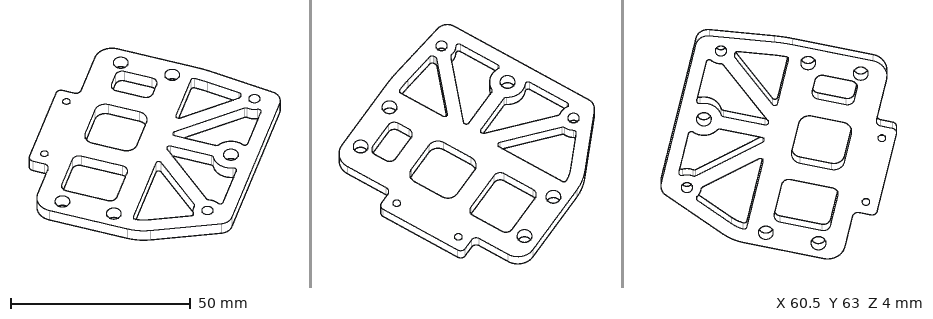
import cadquery as cq
import math

thickness = 4.0
overall_width = 60.55
body_left = -13.4
right_edge = 40.8
tab_left = right_edge - overall_width
top_edge = 28.0
bottom_edge = -35.0
body_corner_radius = 5.0

top_bend_x = 17.1
top_slope_angle = math.radians(6.5)
top_bend_radius = 45.0
bottom_bend_x = 17.7
bottom_slope_angle = math.radians(24.7)
bottom_bend_radius = 15.0
right_corner_radius = 3.5

tab_center_y = -5.1
tab_height = 27.6
tab_corner_radius = 1.5
tab_hole_diameter = 2.1
tab_hole_x = -16.05
tab_hole_spacing = 20.3

body_hole_diameter = 4.1
body_hole_xs = (-5.95, 9.05)
body_hole_ys = (23.35, -30.65)

boss_hole_x = 33.55
center_hole_diameter = 4.1
center_boss_radius = 5.0
side_hole_diameter = 3.1
side_hole_y = 21.75
side_boss_radius = 4.0
bosses = (
    (0.0, center_boss_radius),
    (side_hole_y, side_boss_radius),
    (-side_hole_y, side_boss_radius),
)

windows = (
    (16.8, 12.0, 7.5, 2.0),
    (0.0, 15.0, 15.0, 3.0),
    (-19.8, 16.0, 13.5, 2.0),
)

rim_width = 4.05
rib_width = 4.0
rib_half_width = rib_width / 2
rib_origin_x = 9.25
rib_angle = math.atan2(side_hole_y, boss_hole_x - rib_origin_x)
outer_bay_left = 14.6
bay_corner_radius = 0.8
tolerance = 1e-3


def make_outline():
    """Plate profile with the tab, extruded to full thickness."""
    top_right_y = top_edge - (right_edge - top_bend_x) * math.tan(top_slope_angle)
    bottom_right_y = bottom_edge + (right_edge - bottom_bend_x) * math.tan(bottom_slope_angle)
    tab_top = tab_center_y + tab_height / 2
    tab_bottom = tab_center_y - tab_height / 2

    top_left = (body_left, top_edge)
    bottom_left = (body_left, bottom_edge)
    top_bend = (top_bend_x, top_edge)
    bottom_bend = (bottom_bend_x, bottom_edge)
    right_corners = ((right_edge, top_right_y), (right_edge, bottom_right_y))
    tab_corners = (
        (body_left, tab_top),
        (tab_left, tab_top),
        (tab_left, tab_bottom),
        (body_left, tab_bottom),
    )
    points = [top_left, top_bend, *right_corners, bottom_bend, bottom_left]
    points += reversed(tab_corners)
    plate = cq.Workplane("XY").polyline(points).close().extrude(thickness)

    roundings = (
        ((top_left, bottom_left), body_corner_radius),
        ((top_bend,), top_bend_radius),
        ((bottom_bend,), bottom_bend_radius),
        (right_corners, right_corner_radius),
        (tab_corners, tab_corner_radius),
    )
    for corners, radius in roundings:
        for x, y in corners:
            corner_edge = cq.selectors.NearestToPointSelector((x, y, thickness / 2))
            plate = plate.edges("|Z").edges(corner_edge).fillet(radius)
    return plate


def diagonal_side_y(x, side):
    """Height of the upper (side = 1) or lower (side = -1) edge of the upper diagonal rib at x."""
    center_y = (x - rib_origin_x) * math.tan(rib_angle)
    return center_y + side * rib_half_width / math.cos(rib_angle)


def is_rounded_corner(edge):
    """True for bay corners at the left end or on a boss, false for the bends of the rim."""
    center = edge.Center()
    at_left_end = center.x < outer_bay_left + tolerance
    on_boss = any(
        abs(math.hypot(center.x - boss_hole_x, center.y - y) - radius) < tolerance
        for y, radius in bosses
    )
    return at_left_end or on_boss


def make_bay(wedge_points, frame):
    """One opening: a wedge between ribs, limited by the rim and the bosses."""
    bay = cq.Workplane("XY").polyline(wedge_points).close().extrude(thickness).intersect(frame)
    for y, radius in bosses:
        bay = bay.cut(cq.Workplane("XY").center(boss_hole_x, y).circle(radius).extrude(thickness))
    return bay.edges("|Z").filter(is_rounded_corner).fillet(bay_corner_radius)


def cut_bays(plate):
    """Cut the four openings, one pair on each side of the centre rib."""
    frame = plate.faces(">Z").wires().toPending().offset2D(-rim_width).extrude(-thickness, combine=False)

    tip_rise = rib_half_width + rib_half_width / math.cos(rib_angle)
    inner_tip_x = rib_origin_x + tip_rise / math.tan(rib_angle)
    inner_wedge = (
        (inner_tip_x, rib_half_width),
        (right_edge, rib_half_width),
        (right_edge, diagonal_side_y(right_edge, -1)),
    )
    far_y = max(top_edge, -bottom_edge)
    far_x = rib_origin_x + far_y / math.tan(rib_angle)
    outer_wedge = (
        (outer_bay_left, diagonal_side_y(outer_bay_left, 1)),
        (far_x, diagonal_side_y(far_x, 1)),
        (outer_bay_left, diagonal_side_y(far_x, 1)),
    )
    for wedge in (inner_wedge, outer_wedge):
        for side in (1, -1):
            plate = plate.cut(make_bay([(x, side * y) for x, y in wedge], frame))
    return plate


def cut_windows(plate):
    for center_y, width, height, radius in windows:
        window = cq.Workplane("XY").center(0, center_y).rect(width, height).extrude(thickness)
        plate = plate.cut(window.edges("|Z").fillet(radius))
    return plate


def cut_holes(plate):
    tab_hole_ys = [tab_center_y + side * tab_hole_spacing / 2 for side in (1, -1)]
    hole_groups = (
        (body_hole_diameter, [(x, y) for x in body_hole_xs for y in body_hole_ys]),
        (tab_hole_diameter, [(tab_hole_x, y) for y in tab_hole_ys]),
        (center_hole_diameter, [(boss_hole_x, 0.0)]),
        (side_hole_diameter, [(boss_hole_x, side * side_hole_y) for side in (1, -1)]),
    )
    for diameter, centers in hole_groups:
        holes = cq.Workplane("XY").pushPoints(centers).circle(diameter / 2).extrude(thickness)
        plate = plate.cut(holes)
    return plate


result = cut_holes(cut_windows(cut_bays(make_outline())))